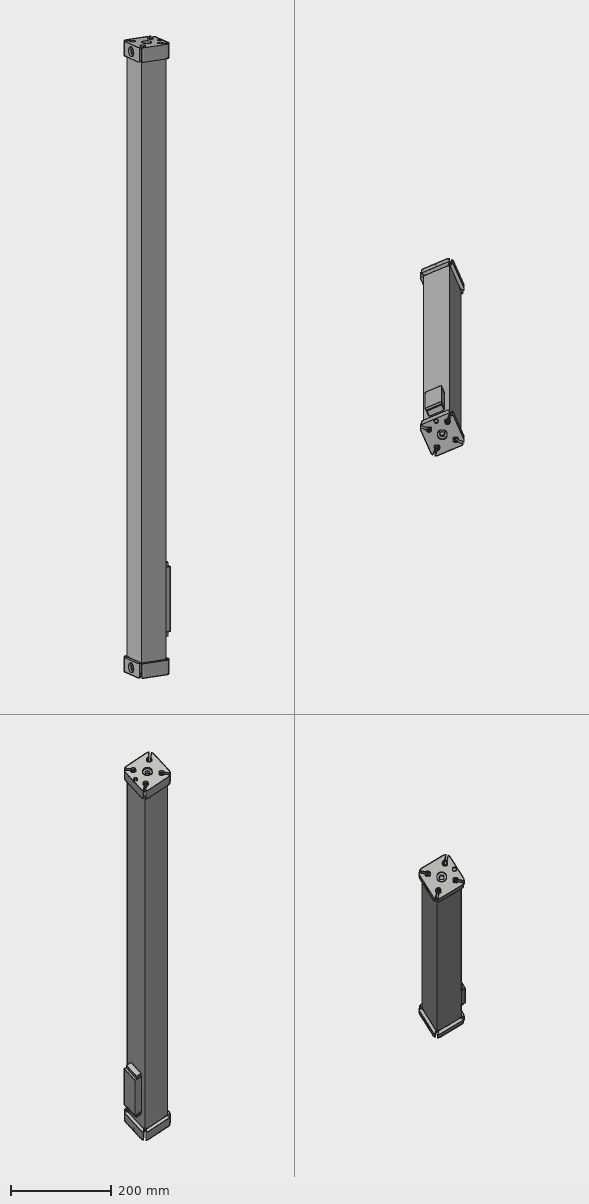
import cadquery as cq
import math

TOTAL_LENGTH = 1300.0
TOTAL_DEPTH = 80.0

CAP_WIDTH = 72.0
CAP_LENGTH = 30.0
CAP_CORNER_RADIUS = 11.0

BARREL_WIDTH = 57.0

PORT_DIAMETER = 20.0
PORT_DEPTH = 5.0
PORT_BORE_DIAMETER = 10.0
PORT_BORE_DEPTH = 15.0

SCREW_SPACING = 40.0
SCREW_HEAD_DIAMETER = 11.0
SCREW_HEAD_DEPTH = 6.0
SCREW_HOLE_DIAMETER = 6.0
SCREW_HOLE_DEPTH = 13.0

SLOT_WIDTH = 5.0
SLOT_LENGTH = CAP_WIDTH / 2
SLOT_CENTRE_RADIUS = SCREW_SPACING / math.sqrt(2) + SLOT_LENGTH / 2

PLUG_DIAMETER = 8.0
PLUG_Y = 30.0
PLUG_DEPTH = 6.0

CARRIAGE_WIDTH = 35.0
CARRIAGE_TOP_Y = TOTAL_DEPTH - CAP_WIDTH / 2
CARRIAGE_LENGTH = 152.0
CARRIAGE_CENTRE_Z = 150.0
LEDGE_WIDTH = 32.0
LEDGE_TOP_Y = 40.0
LEDGE_LENGTH = 9.0


def make_counterbore(points, head_diameter, head_depth, hole_diameter, hole_depth):
    """Cutter for counterbored holes that open at Z = 0 and run upward."""
    head = points.circle(head_diameter / 2).extrude(head_depth)
    hole = points.circle(hole_diameter / 2).extrude(hole_depth)
    return head.union(hole)


def make_lower_cap():
    """Cap with its outer end at Z = 0 and the barrel side at Z = CAP_LENGTH."""
    end = cq.Workplane("XY")
    cap = end.rect(CAP_WIDTH, CAP_WIDTH).extrude(CAP_LENGTH).edges("|Z").fillet(CAP_CORNER_RADIUS)

    slots = (
        end.polarArray(SLOT_CENTRE_RADIUS, 45, 360, 4)
        .rect(SLOT_LENGTH, SLOT_WIDTH)
        .extrude(CAP_LENGTH)
    )

    corners = end.rect(SCREW_SPACING, SCREW_SPACING, forConstruction=True).vertices()
    screws = make_counterbore(
        corners, SCREW_HEAD_DIAMETER, SCREW_HEAD_DEPTH, SCREW_HOLE_DIAMETER, SCREW_HOLE_DEPTH
    )

    end_port = make_counterbore(end, PORT_DIAMETER, PORT_DEPTH, PORT_BORE_DIAMETER, PORT_BORE_DEPTH)
    side_port = end_port.rotate((0, 0, 0), (1, 0, 0), -90)
    side_port = side_port.translate((0, -CAP_WIDTH / 2, CAP_LENGTH / 2))

    plug_hole = end.center(0, PLUG_Y).circle(PLUG_DIAMETER / 2).extrude(PLUG_DEPTH)

    return cap.cut(slots).cut(screws).cut(end_port).cut(side_port).cut(plug_hole)


def make_cylinder():
    """Barrel with a cap at each end; the upper cap mirrors the lower one."""
    barrel = (
        cq.Workplane("XY", origin=(0, 0, CAP_LENGTH))
        .rect(BARREL_WIDTH, BARREL_WIDTH)
        .extrude(TOTAL_LENGTH - 2 * CAP_LENGTH)
    )
    lower_cap = make_lower_cap()
    upper_cap = lower_cap.mirror("XY").translate((0, 0, TOTAL_LENGTH))
    return barrel.union(lower_cap).union(upper_cap)


def make_carriage_block(width, top_y, length):
    """Block standing on the +Y face of the barrel, centred on the carriage."""
    base_y = BARREL_WIDTH / 2
    return (
        cq.Workplane("XY", origin=(0, base_y, CARRIAGE_CENTRE_Z))
        .box(width, top_y - base_y, length, centered=(True, False, True))
    )


def make_carriage():
    """Raised middle block on a longer, lower block whose ends form the ledges."""
    ledges = make_carriage_block(LEDGE_WIDTH, LEDGE_TOP_Y, CARRIAGE_LENGTH)
    middle = make_carriage_block(CARRIAGE_WIDTH, CARRIAGE_TOP_Y, CARRIAGE_LENGTH - 2 * LEDGE_LENGTH)
    return ledges.union(middle)


cylinder = make_cylinder()
carriage = make_carriage()
result = cq.Compound.makeCompound([cylinder.val(), carriage.val()])